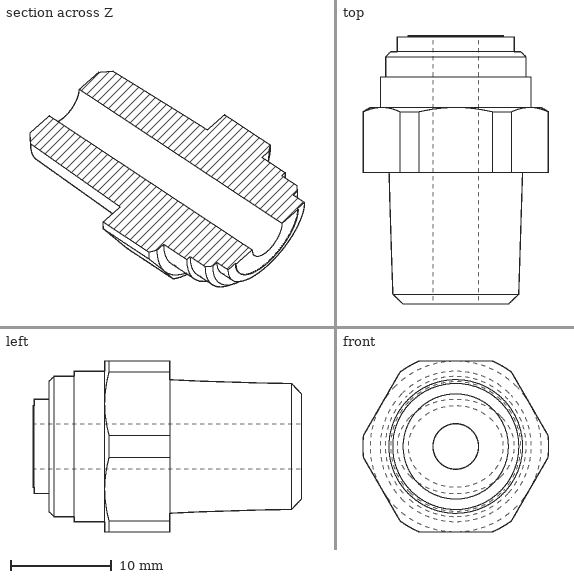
import cadquery as cq
import math

length = 26.7
tip_chamfer = 1.0
hex_start = 13.08
hex_end = 19.57
collar_end = 22.61
sleeve_end = 25.12
ring_end = 26.6

bore_diameter = 4.5
tip_diameter = 10.47
thread_taper = 1 / 16
thread_small_diameter = 12.55
thread_large_diameter = thread_small_diameter + thread_taper * (hex_start - tip_chamfer)
hex_across_flats = 17.0
hex_corner_diameter = 18.5
collar_diameter = 15.0
sleeve_diameter = 14.0

hex_chamfer_angle = 30
hex_chamfer_length = (hex_corner_diameter - hex_across_flats) / 2 * math.tan(math.radians(hex_chamfer_angle))
sleeve_chamfer = 0.53
ring_width = 11.65
ring_height = 9.4
lip_width = 9.45
lip_height = 8.12


def revolve_profile(points):
    """Revolve (radius, y) points about the Y axis."""
    return cq.Workplane("XY").polyline(points).close().revolve(360, (0, 0, 0), (0, 1, 0))


def section_at(y):
    """Workplane across the axis at y, with its normal along +Y."""
    return cq.Workplane(cq.Plane(origin=(0, y, 0), xDir=(1, 0, 0), normal=(0, 1, 0)))


def turned_body():
    """Tapered thread, collar and sleeve as one turned shape."""
    return revolve_profile([
        (0, 0),
        (tip_diameter / 2, 0),
        (thread_small_diameter / 2, tip_chamfer),
        (thread_large_diameter / 2, hex_start),
        (collar_diameter / 2, hex_start),
        (collar_diameter / 2, collar_end),
        (sleeve_diameter / 2, collar_end),
        (sleeve_diameter / 2, sleeve_end - sleeve_chamfer),
        (sleeve_diameter / 2 - sleeve_chamfer, sleeve_end),
        (0, sleeve_end),
    ])


def hex_nut():
    """Hexagon with turned corners and a conical chamfer on the collar side."""
    sharp_corner_diameter = hex_across_flats / math.cos(math.pi / 6)
    prism = section_at(hex_start).polygon(6, sharp_corner_diameter).extrude(hex_end - hex_start)
    envelope = revolve_profile([
        (0, hex_start),
        (hex_corner_diameter / 2, hex_start),
        (hex_corner_diameter / 2, hex_end - hex_chamfer_length),
        (hex_across_flats / 2, hex_end),
        (0, hex_end),
    ])
    return prism.intersect(envelope)


def release_ring():
    """Oval ring with a thin raised lip on its outer face."""
    ring = section_at(sleeve_end).ellipse(ring_width / 2, ring_height / 2).extrude(ring_end - sleeve_end)
    lip = section_at(ring_end).ellipse(lip_width / 2, lip_height / 2).extrude(length - ring_end)
    return ring.union(lip)


bore = section_at(0).circle(bore_diameter / 2).extrude(length)
result = turned_body().union(hex_nut()).union(release_ring()).cut(bore)